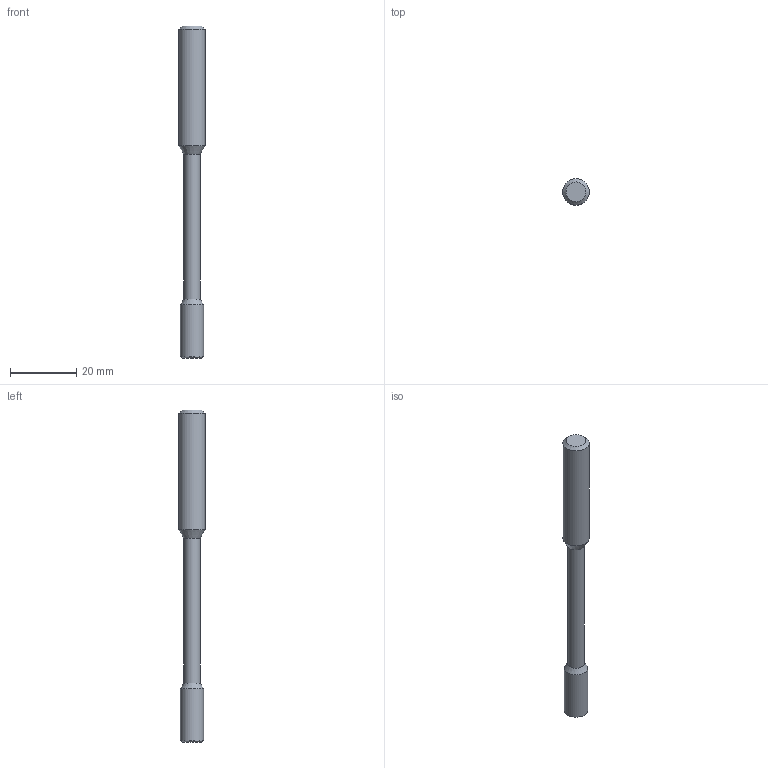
import cadquery as cq
import math

total_length = 100.0
shank_diameter = 8.0
shank_length = 36.0
shank_chamfer = 1.0
neck_diameter = 5.0
tip_diameter = 7.0
tip_length = 16.0
tip_chamfer_width = 0.7
tip_chamfer_angle = 30.0
shoulder_angle = 30.0

shank_radius = shank_diameter / 2
neck_radius = neck_diameter / 2
tip_radius = tip_diameter / 2

tip_chamfer_height = tip_chamfer_width * math.tan(math.radians(tip_chamfer_angle))


def shoulder_height(outer_radius):
    """Axial length of the cone running from outer_radius down to the neck."""
    return (outer_radius - neck_radius) / math.tan(math.radians(shoulder_angle))


shank_bottom = total_length - shank_length
neck_top = shank_bottom - shoulder_height(shank_radius)
neck_bottom = tip_length + shoulder_height(tip_radius)


def stepped_pin():
    """Revolve the half outline (radius, height) about the Z axis."""
    half_outline = [
        (0, 0),
        (tip_radius - tip_chamfer_width, 0),
        (tip_radius, tip_chamfer_height),
        (tip_radius, tip_length),
        (neck_radius, neck_bottom),
        (neck_radius, neck_top),
        (shank_radius, shank_bottom),
        (shank_radius, total_length - shank_chamfer),
        (shank_radius - shank_chamfer, total_length),
        (0, total_length),
    ]
    return cq.Workplane("XZ").polyline(half_outline).close().revolve(360, (0, 0), (0, 1))


result = stepped_pin()